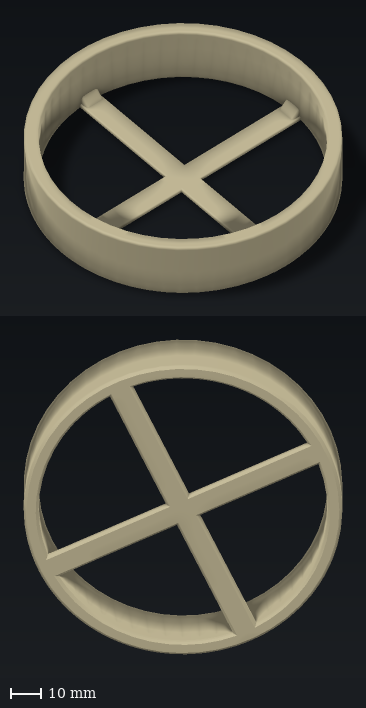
import cadquery as cq

outer_diameter = 106.0
inner_diameter = 96.0
height = 22.0
rim_round = 1.0
base_chamfer = 1.0
base_chamfer_round = 1.0

arm_width = 8.5
arm_thickness = 2.3
arm_edge_round = 0.6

gusset_reach = 3.2
gusset_rise = 3.0
gusset_width = arm_width - 2 * arm_edge_round
gusset_edge_round = 1.0

level_tolerance = 0.01

outer_radius = outer_diameter / 2
inner_radius = inner_diameter / 2
embedded_radius = (outer_radius + inner_radius) / 2


def make_ring():
    """Plain ring with a rounded top rim."""
    ring = cq.Workplane("XY").circle(outer_radius).circle(inner_radius).extrude(height)
    return ring.faces(">Z").edges().fillet(rim_round)


def make_cross():
    """Two crossed flat arms with rounded upper edges."""
    length = 2 * embedded_radius
    base = cq.Workplane("XY")
    cross = base.rect(length, arm_width).extrude(arm_thickness)
    cross = cross.union(base.rect(arm_width, length).extrude(arm_thickness))
    return cross.faces(">Z").edges().fillet(arm_edge_round)


def make_gusset(angle):
    """Ramp from the arm up to the wall, with rounded sloping edges."""
    toe_radius = inner_radius - gusset_reach
    embedded_rise = gusset_rise * (embedded_radius - toe_radius) / gusset_reach
    gusset = (
        cq.Workplane("XZ")
        .moveTo(toe_radius, arm_thickness)
        .lineTo(embedded_radius, arm_thickness)
        .lineTo(embedded_radius, arm_thickness + embedded_rise)
        .close()
        .extrude(gusset_width / 2, both=True)
    )
    sloping_edges = gusset.edges("not (|X or |Y or |Z)")
    gusset = sloping_edges.fillet(gusset_edge_round)
    return gusset.rotate((0, 0, 0), (0, 0, 1), angle)


def soften_base(body):
    """Chamfer every bottom edge, then round where each chamfer meets its wall."""
    body = body.faces("<Z").edges().chamfer(base_chamfer)
    below = base_chamfer - level_tolerance
    above = base_chamfer + level_tolerance
    span = outer_diameter
    chamfer_top_edges = body.edges(cq.selectors.BoxSelector((-span, -span, below), (span, span, above), True))
    return chamfer_top_edges.fillet(base_chamfer_round)


result = soften_base(make_ring()).union(soften_base(make_cross()))
for arm_angle in (0, 90, 180, 270):
    result = result.union(make_gusset(arm_angle))